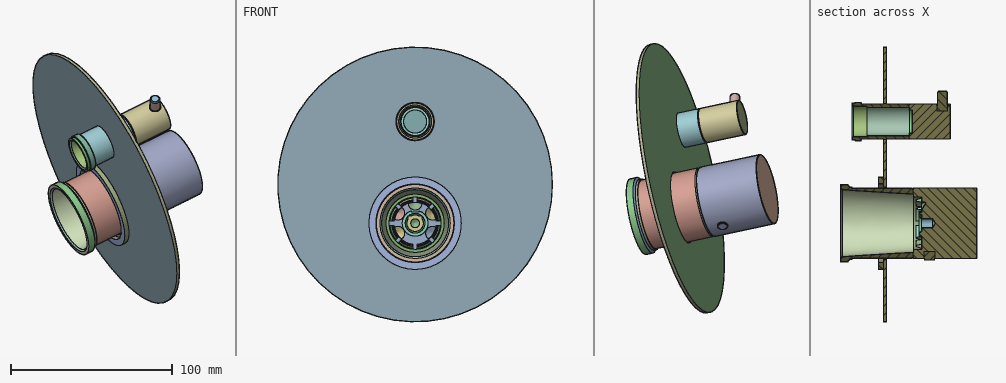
import cadquery as cq
import math

MAIN_AXIS_Z = -24.0
SMALL_AXIS_Z = 39.0

PLATE_RADIUS = 85.0
PLATE_THICKNESS = 2.0
PLATE_MAIN_HOLE_RADIUS = 22.5

RING_RADIUS = 28.5
RING_HOLE_RADIUS = 24.3
RING_THICKNESS = 3.0

MAIN_RADIUS = 21.8
MAIN_JOINT_Y = 18.5
MAIN_FRONT_Y = -26.4
MAIN_REAR_CHAMFER = 0.8
MAIN_COLLAR_RADIUS = 22.5
MAIN_COLLAR_BACK_Y = -19.4
MAIN_RIM_SLOPE_Y = -20.9
MAIN_RIM_RADIUS = 24.0
MAIN_RIM_BACK_Y = -22.0
MAIN_MOUTH_RADIUS = 21.8
MAIN_BORE_FRONT_RADIUS = 20.7
MAIN_MOUTH_DEPTH = 1.0
MAIN_BORE_REAR_RADIUS = 18.0

HANDLE_RADIUS = 22.0
MAIN_BACK_Y = 57.8
EDGE_CHAMFER = 0.3
POCKET_RADIUS = 16.2
POCKET_DEPTH = 5.1
CROWN_OUTER_RADIUS = 15.6
CROWN_INNER_RADIUS = 13.1
CROWN_TIP_OUTER_RADIUS = 14.5
CROWN_TIP_INNER_RADIUS = 13.8
CROWN_HEIGHT = 3.4
CROWN_GAP = 0.2
SLOT_COUNT = 8
SLOT_WIDTH = 2.5
DIMPLE_PITCH_RADIUS = 12.4
DIMPLE_RADIUS = 4.2
DIMPLE_DEPTH = 2.5
DIMPLE_STEP_ANGLE = 60
DIMPLE_COUNT = 5
FIRST_DIMPLE_ANGLE = -30
BOSS_RADIUS = 8.0
BOSS_HEIGHT = 1.7
BOSS_NOTCH_WIDTH = 4.8
BOSS_NOTCH_DEPTH = 1.2
SOCKET_MOUTH_RADIUS = 6.1
SOCKET_RADIUS = 5.1
SOCKET_DEPTH = 1.7
KEYWAY_WIDTH = 8.5
KEYWAY_HEIGHT = 4.6
SCREW_HOLE_RADIUS = 2.7
SCREW_HOLE_DEPTH = 6.8
SCREW_TIP_LENGTH = 1.7

BUTTON_RADIUS = 3.2
BUTTON_Y = 28.5
BUTTON_LENGTH = 5.1
BUTTON_PROUD = 0.8
BUTTON_CHAMFER = 0.3

SMALL_RADIUS = 10.9
SMALL_JOINT_Y = 16.2
SMALL_FRONT_Y = -19.4
SMALL_RIM_RADIUS = 11.9
SMALL_RIM_BACK_Y = -13.6
SMALL_RIM_FRONT_Y = -17.7
SMALL_LIP_RADIUS = 11.4
SMALL_MOUTH_RADIUS = 10.2
SMALL_BORE_RADIUS = 9.4
SMALL_MOUTH_DEPTH = 0.8
SMALL_REAR_HOLE_RADIUS = 8.7
SMALL_SHELF_Y = -10.2

SMALL_BACK_Y = 41.5
SMALL_RECESS_RADIUS = 7.1
SMALL_RECESS_DEPTH = 1.7

PIN_RADIUS = 3.0
PIN_Y = 36.5
PIN_TOP_Z = 57.8
PIN_CHAMFER = 0.7
PIN_SEAT_RADIUS = 3.5
PIN_SEAT_HEIGHT = 10.2
PIN_FOOT_HEIGHT = 6.8
PIN_SEAT_Z = SMALL_AXIS_Z + PIN_SEAT_HEIGHT
PIN_FOOT_Z = SMALL_AXIS_Z + PIN_FOOT_HEIGHT


def cylinder_y(radius, y_start, y_end, z):
    """Solid cylinder along Y between two planes, on the axis at height z."""
    return cq.Workplane("XZ", origin=(0, y_start, z)).circle(radius).extrude(y_start - y_end)


def cylinder_z(radius, z_start, z_end, y):
    """Solid upright cylinder on the axis at (0, y)."""
    return cq.Workplane("XY", origin=(0, y, z_start)).circle(radius).extrude(z_end - z_start)


def revolve_y(profile, z):
    """Turn a closed outline of (radius, y) points about the Y axis, then raise it to height z."""
    solid = cq.Workplane("XY").polyline(profile).close().revolve(360, (0, 0), (0, 1))
    return solid.translate((0, 0, z))


def make_plate():
    plate = cylinder_y(PLATE_RADIUS, 0, PLATE_THICKNESS, 0)
    main_hole = cylinder_y(PLATE_MAIN_HOLE_RADIUS, 0, PLATE_THICKNESS, MAIN_AXIS_Z)
    small_hole = cylinder_y(SMALL_RADIUS, 0, PLATE_THICKNESS, SMALL_AXIS_Z)
    return plate.cut(main_hole).cut(small_hole)


def make_trim_ring():
    disc = cylinder_y(RING_RADIUS, -RING_THICKNESS, 0, MAIN_AXIS_Z)
    return disc.cut(cylinder_y(RING_HOLE_RADIUS, -RING_THICKNESS, 0, MAIN_AXIS_Z))


def make_main_sleeve():
    profile = [
        (MAIN_BORE_REAR_RADIUS, MAIN_JOINT_Y),
        (MAIN_RADIUS - MAIN_REAR_CHAMFER, MAIN_JOINT_Y),
        (MAIN_RADIUS, MAIN_JOINT_Y - MAIN_REAR_CHAMFER),
        (MAIN_RADIUS, MAIN_COLLAR_BACK_Y),
        (MAIN_COLLAR_RADIUS, MAIN_COLLAR_BACK_Y),
        (MAIN_COLLAR_RADIUS, MAIN_RIM_SLOPE_Y),
        (MAIN_RIM_RADIUS, MAIN_RIM_BACK_Y),
        (MAIN_RIM_RADIUS, MAIN_FRONT_Y),
        (MAIN_MOUTH_RADIUS, MAIN_FRONT_Y),
        (MAIN_BORE_FRONT_RADIUS, MAIN_FRONT_Y + MAIN_MOUTH_DEPTH),
    ]
    return revolve_y(profile, MAIN_AXIS_Z)


def make_crown(floor_y):
    """Ring of teeth with sloping sides that stands on the pocket floor."""
    tip_y = floor_y - CROWN_HEIGHT
    crown = revolve_y(
        [
            (CROWN_INNER_RADIUS, floor_y),
            (CROWN_OUTER_RADIUS, floor_y),
            (CROWN_TIP_OUTER_RADIUS, tip_y),
            (CROWN_TIP_INNER_RADIUS, tip_y),
        ],
        MAIN_AXIS_Z,
    )
    slot = (
        cq.Workplane("XZ", origin=(0, floor_y, MAIN_AXIS_Z))
        .rect(2 * POCKET_RADIUS, SLOT_WIDTH)
        .extrude(CROWN_HEIGHT)
    )
    for index in range(SLOT_COUNT // 2):
        angle = index * 360 / SLOT_COUNT
        crown = crown.cut(slot.rotate((0, 0, MAIN_AXIS_Z), (0, 1, MAIN_AXIS_Z), angle))
    return crown


def make_dimples(floor_y):
    """Conical hollows in the pocket floor, cut off just inside the crown."""
    tip_y = floor_y + DIMPLE_DEPTH
    inside_crown = cylinder_y(CROWN_INNER_RADIUS - CROWN_GAP, floor_y, tip_y, MAIN_AXIS_Z)
    dimples = []
    for index in range(DIMPLE_COUNT):
        angle = math.radians(FIRST_DIMPLE_ANGLE + index * DIMPLE_STEP_ANGLE)
        x = DIMPLE_PITCH_RADIUS * math.cos(angle)
        z = MAIN_AXIS_Z + DIMPLE_PITCH_RADIUS * math.sin(angle)
        cone = revolve_y([(0, floor_y), (DIMPLE_RADIUS, floor_y), (0, tip_y)], z).translate((x, 0, 0))
        dimples.append(cone.intersect(inside_crown))
    return dimples


def make_boss(floor_y):
    """Central boss with a notch at the top of its rim."""
    front_y = floor_y - BOSS_HEIGHT
    boss = cylinder_y(BOSS_RADIUS, front_y, floor_y, MAIN_AXIS_Z)
    notch = cq.Workplane("XY").box(BOSS_NOTCH_WIDTH, BOSS_HEIGHT, 2 * BOSS_NOTCH_DEPTH)
    return boss.cut(notch.translate((0, front_y + BOSS_HEIGHT / 2, MAIN_AXIS_Z + BOSS_RADIUS)))


def make_screw_socket(front_y):
    """Tapered socket with a flat-topped keyway and a pointed screw hole, to cut from the boss."""
    socket_y = front_y + SOCKET_DEPTH
    hole_y = socket_y + SCREW_HOLE_DEPTH
    socket = revolve_y(
        [
            (0, front_y),
            (SOCKET_MOUTH_RADIUS, front_y),
            (SOCKET_RADIUS, socket_y),
            (SCREW_HOLE_RADIUS, socket_y),
            (SCREW_HOLE_RADIUS, hole_y),
            (0, hole_y + SCREW_TIP_LENGTH),
        ],
        MAIN_AXIS_Z,
    )
    keyway = cq.Workplane("XY").box(KEYWAY_WIDTH, SOCKET_DEPTH, KEYWAY_HEIGHT)
    keyway_centre = (0, front_y + SOCKET_DEPTH / 2, MAIN_AXIS_Z + KEYWAY_HEIGHT / 2)
    return socket.union(keyway.translate(keyway_centre))


def make_main_handle(button):
    floor_y = MAIN_JOINT_Y + POCKET_DEPTH
    handle = cylinder_y(HANDLE_RADIUS, MAIN_JOINT_Y, MAIN_BACK_Y, MAIN_AXIS_Z)
    handle = handle.faces("<Y or >Y").chamfer(EDGE_CHAMFER)
    handle = handle.cut(cylinder_y(POCKET_RADIUS, MAIN_JOINT_Y, floor_y, MAIN_AXIS_Z))
    for dimple in make_dimples(floor_y):
        handle = handle.cut(dimple)
    handle = handle.union(make_crown(floor_y)).union(make_boss(floor_y))
    return handle.cut(make_screw_socket(floor_y - BOSS_HEIGHT)).cut(button)


def make_button():
    bottom_z = MAIN_AXIS_Z - HANDLE_RADIUS - BUTTON_PROUD
    button = cylinder_z(BUTTON_RADIUS, bottom_z, bottom_z + BUTTON_LENGTH, BUTTON_Y)
    return button.faces("<Z").chamfer(BUTTON_CHAMFER)


def make_small_sleeve():
    profile = [
        (SMALL_REAR_HOLE_RADIUS, SMALL_JOINT_Y),
        (SMALL_RADIUS - EDGE_CHAMFER, SMALL_JOINT_Y),
        (SMALL_RADIUS, SMALL_JOINT_Y - EDGE_CHAMFER),
        (SMALL_RADIUS, SMALL_RIM_BACK_Y),
        (SMALL_RIM_RADIUS - EDGE_CHAMFER, SMALL_RIM_BACK_Y),
        (SMALL_RIM_RADIUS, SMALL_RIM_BACK_Y - EDGE_CHAMFER),
        (SMALL_RIM_RADIUS, SMALL_RIM_FRONT_Y + EDGE_CHAMFER),
        (SMALL_RIM_RADIUS - EDGE_CHAMFER, SMALL_RIM_FRONT_Y),
        (SMALL_LIP_RADIUS, SMALL_RIM_FRONT_Y),
        (SMALL_LIP_RADIUS, SMALL_FRONT_Y),
        (SMALL_MOUTH_RADIUS, SMALL_FRONT_Y),
        (SMALL_BORE_RADIUS, SMALL_FRONT_Y + SMALL_MOUTH_DEPTH),
        (SMALL_BORE_RADIUS, SMALL_SHELF_Y),
        (SMALL_REAR_HOLE_RADIUS, SMALL_SHELF_Y),
    ]
    return revolve_y(profile, SMALL_AXIS_Z)


def make_small_handle(pin):
    handle = cylinder_y(SMALL_RADIUS, SMALL_JOINT_Y, SMALL_BACK_Y, SMALL_AXIS_Z)
    handle = handle.faces("<Y or >Y").chamfer(EDGE_CHAMFER)
    recess_y = SMALL_JOINT_Y + SMALL_RECESS_DEPTH
    handle = handle.cut(cylinder_y(SMALL_RECESS_RADIUS, SMALL_JOINT_Y, recess_y, SMALL_AXIS_Z))
    seat = cylinder_z(PIN_SEAT_RADIUS, PIN_SEAT_Z, PIN_TOP_Z, PIN_Y)
    return handle.cut(seat).cut(pin)


def make_lever_pin():
    return cylinder_z(PIN_RADIUS, PIN_FOOT_Z, PIN_TOP_Z, PIN_Y).faces(">Z").chamfer(PIN_CHAMFER)


button = make_button()
lever_pin = make_lever_pin()
plate = make_plate()
trim_ring = make_trim_ring()
main_sleeve = make_main_sleeve()
main_handle = make_main_handle(button)
small_sleeve = make_small_sleeve()
small_handle = make_small_handle(lever_pin)

result = cq.Compound.makeCompound(
    [
        plate.val(),
        trim_ring.val(),
        main_sleeve.val(),
        main_handle.val(),
        button.val(),
        small_sleeve.val(),
        small_handle.val(),
        lever_pin.val(),
    ]
)